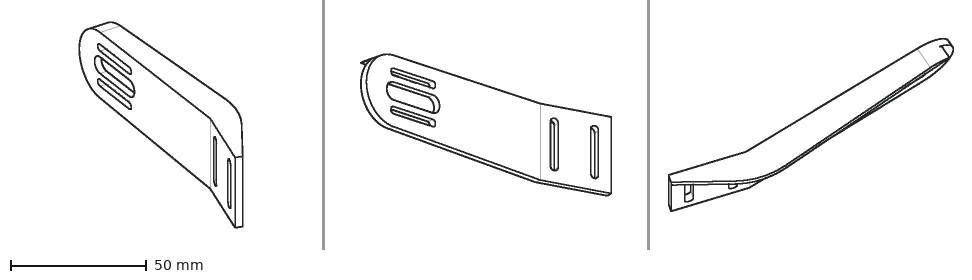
import cadquery as cq
import math

thickness = 3.0
height = 30.0
nose_radius = 14.0
straight_length = 75.0
tail_length = 30.0
bend_angle = 15.0
flange_width_nose = 6.0
flange_width_peak = 10.0
flange_peak_offset = 1.0
flange_corner_radius = 33.0

nose_slot_spacing = 20.0
wide_slot_width = 7.0
narrow_slot_width = 2.8
narrow_slot_offset = 7.5

tail_slot_width = 3.2
tail_slot_length = 20.5
tail_slot_distances = (6.0, 23.0)

nose_x = nose_radius
nose_z = height - nose_radius
bend_x = nose_x + straight_length
bend = math.radians(bend_angle)
back_bend_x = bend_x + thickness * math.tan(bend / 2)
tail_front = (bend_x + tail_length * math.cos(bend), -tail_length * math.sin(bend))
tail_back = (tail_front[0] + thickness * math.sin(bend), tail_front[1] + thickness * math.cos(bend))
total_length = tail_back[0]

flange_slope = (flange_width_peak - flange_width_nose) / (straight_length + flange_peak_offset)
flange_y_nose_tip = thickness + flange_width_nose - flange_slope * nose_x
flange_corner = (bend_x + flange_peak_offset, thickness + flange_width_peak)

cut_depth = 4 * thickness


def bent_plate():
    """Sheet of constant thickness with one bend, at full height."""
    outline = [(0, 0), (bend_x, 0), tail_front, tail_back, (back_bend_x, thickness), (0, thickness)]
    return cq.Workplane("XY").polyline(outline).close().extrude(height)


def top_flange():
    """Flange along the top edge, widening toward the bend and tapering out at the tail."""
    outline = [(0, 0), (bend_x, 0), tail_front, tail_back, flange_corner, (0, flange_y_nose_tip)]
    flange_base = cq.Workplane("XY").workplane(offset=height - thickness)
    flange = flange_base.polyline(outline).close().extrude(thickness)
    corner_edge = cq.selectors.NearestToPointSelector((*flange_corner, height - thickness / 2))
    return flange.edges("|Z").edges(corner_edge).fillet(flange_corner_radius)


def front_silhouette():
    """Round nose and slightly sloping lower edge, as a prism along Y."""
    depth = 2 * height
    return (
        cq.Workplane("XZ", origin=(0, depth / 2, 0))
        .moveTo(nose_x, height)
        .threePointArc((0, nose_z), (nose_x, nose_z - nose_radius))
        .lineTo(bend_x, 0)
        .lineTo(total_length, 0)
        .lineTo(total_length, height)
        .close()
        .extrude(depth)
    )


def nose_slot(width, z):
    """Cutter for a horizontal slot through the straight part of the plate."""
    return (
        cq.Workplane("XZ")
        .center(nose_x + nose_slot_spacing / 2, z)
        .slot2D(nose_slot_spacing + width, width)
        .extrude(cut_depth, both=True)
    )


def tail_slot(distance):
    """Cutter for a vertical slot square to the tilted tail."""
    tail_plane = cq.Plane(
        origin=(bend_x, 0, height / 2),
        xDir=(math.cos(bend), -math.sin(bend), 0),
        normal=(-math.sin(bend), -math.cos(bend), 0),
    )
    return (
        cq.Workplane(tail_plane)
        .center(distance, 0)
        .slot2D(tail_slot_length, tail_slot_width, 90)
        .extrude(cut_depth, both=True)
    )


result = bent_plate().union(top_flange()).intersect(front_silhouette())

result = result.cut(nose_slot(wide_slot_width, nose_z))
for side in (-1, 1):
    result = result.cut(nose_slot(narrow_slot_width, nose_z + side * narrow_slot_offset))

for distance in tail_slot_distances:
    result = result.cut(tail_slot(distance))